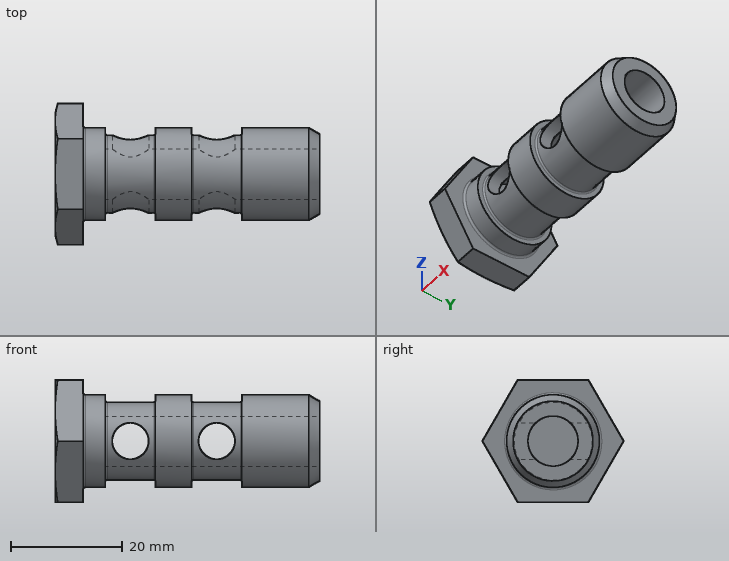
import cadquery as cq
import math

overall_length = 47.5

across_flats = 22.0
across_corners = across_flats / math.cos(math.radians(30))
head_height = 5.0
head_chamfer_angle = 15.0

shank_diameter = 16.66
head_fillet = 0.4
tip_chamfer_length = 2.0
tip_chamfer_angle = 30.0

groove_diameter = 14.0
groove_width = 9.0
groove_fillet = 0.3
first_groove_center = 13.5
groove_spacing = 15.5
groove_centers = [first_groove_center, first_groove_center + groove_spacing]

cross_hole_diameter = 6.5
bore_diameter = 9.0
bore_bottom = groove_centers[0] - groove_width / 2


def cylinder_along_x(diameter, start, end):
    return cq.Workplane("YZ", origin=(start, 0, 0)).circle(diameter / 2).extrude(end - start)


def make_head():
    """Hexagon with corners on the Y axis, cut back by a cone starting at the inscribed circle."""
    hexagon = cq.Workplane("YZ").polygon(6, across_corners).extrude(head_height)
    cone_spread = head_height / math.tan(math.radians(head_chamfer_angle))
    face_radius = across_flats / 2
    cone = (
        cq.Workplane("XY")
        .moveTo(0, 0)
        .lineTo(0, face_radius)
        .lineTo(head_height, face_radius + cone_spread)
        .lineTo(head_height, 0)
        .close()
        .revolve(360, (0, 0, 0), (1, 0, 0))
    )
    return hexagon.intersect(cone)


def make_shank():
    """Plain round shank, flared into the head and tapered at the tip."""
    radius = shank_diameter / 2
    tip_radius = radius - tip_chamfer_length * math.tan(math.radians(tip_chamfer_angle))
    flare_end = head_height + head_fillet
    flare_mid_offset = head_fillet * (1 - math.sqrt(0.5))
    return (
        cq.Workplane("XY")
        .moveTo(head_height, 0)
        .lineTo(head_height, radius + head_fillet)
        .threePointArc(
            (head_height + flare_mid_offset, radius + flare_mid_offset),
            (flare_end, radius),
        )
        .lineTo(overall_length - tip_chamfer_length, radius)
        .lineTo(overall_length, tip_radius)
        .lineTo(overall_length, 0)
        .close()
        .revolve(360, (0, 0, 0), (1, 0, 0))
    )


def make_groove_cutter(center):
    """Ring that leaves the groove diameter, with rounded corners at the groove floor."""
    start = center - groove_width / 2
    end = center + groove_width / 2
    ring = cylinder_along_x(across_flats, start, end)
    core = cylinder_along_x(groove_diameter, start, end)
    reach = groove_diameter / 2 + groove_fillet
    floor_edges = cq.selectors.BoxSelector(
        (start - groove_fillet, -reach, -reach),
        (end + groove_fillet, reach, reach),
        boundingbox=True,
    )
    return ring.cut(core).edges(floor_edges).edges("%CIRCLE").fillet(groove_fillet)


def make_cross_hole(center):
    return (
        cq.Workplane("XZ", origin=(center, 0, 0))
        .circle(cross_hole_diameter / 2)
        .extrude(shank_diameter / 2, both=True)
    )


result = make_head().union(make_shank())
for groove_center in groove_centers:
    result = result.cut(make_groove_cutter(groove_center))
result = result.cut(cylinder_along_x(bore_diameter, bore_bottom, overall_length))
for groove_center in groove_centers:
    result = result.cut(make_cross_hole(groove_center))